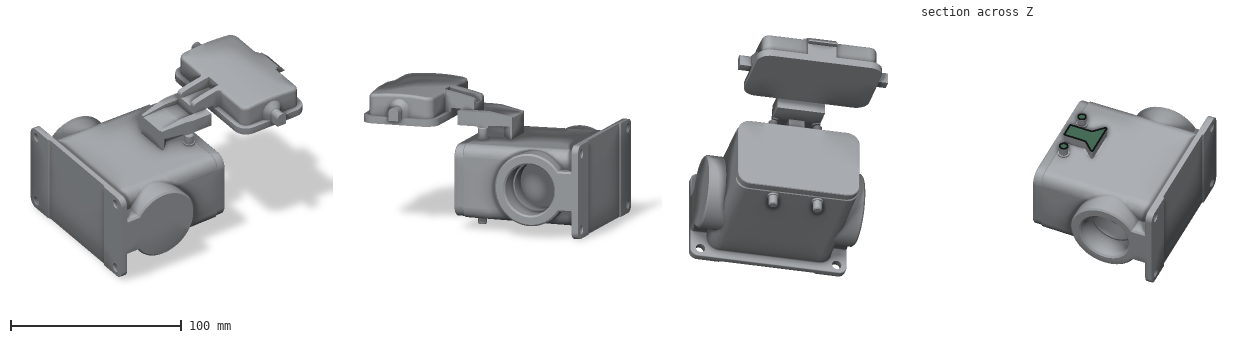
import cadquery as cq
import math

flange_width = 94.0
flange_height = 55.9
flange_thickness = 4.3
flange_corner = 4.7
flange_edge = 0.5
screw_hole_dia = 5.5
screw_spacing_x = 82.0
screw_spacing_z = 45.4
relief_width = 56.2
relief_depth = 0.9

body_width = 74.9
body_height = 45.2
body_corner = 7.5
body_end = 75.5
body_draft = 0.6
body_edge = 0.5
collar_width = 73.2
collar_height = 42.8
collar_end = 80.5
collar_edge = 0.4

entry_y = 30.3
entry_radius = 21.5
entry_edge = 1.0
neck_height = 24.0
neck_rise = 0.3
bore_radius = 15.2
bore_depth = 14.7
bore_chamfer = 1.0
inner_bore_radius = 14.2
inner_bore_depth = 25.5

peg_x = 13.3
peg_y = 71.0
peg_radius = 2.7
peg_reach = 28.6
peg_tip_chamfer = 0.5
peg_foot_radius = 3.4
peg_foot_top = 23.0

bracket_half_rear = 14.3
bracket_half_front = 10.5
bracket_front = 53.7
bracket_bend = 73.7
bracket_rear = 86.2
bracket_top = 37.7
bracket_front_top = 35.3
bracket_ridge_y = 68.5
bracket_under = 29.8
bracket_rear_under = 29.2
bracket_floor_front = 34.6
bracket_floor_ridge = 35.5
bracket_floor_rear = 34.3
front_wall = 1.3
front_wall_embed = 0.7
pad_radius = 3.4
pad_bottom = 28.5
pedestal_front = 60.8
pedestal_rear = 74.7

cover_y = 115.5
rim_width = 75.2
rim_length = 46.2
rim_corner = 8.0
rim_bottom = 31.6
rim_top = 35.9
shell_width = 68.9
shell_length = 40.0
shell_corner = 4.8
shell_draft = 0.5
shell_edge = 1.8
dome_crown = 49.5
dome_edge = 48.0

arm_half = 8.7
arm_tip = 77.9
arm_bottom = 38.0
arm_tip_top = 44.1
arm_tip_fillet = 2.3
arm_crest = (87.2, 46.4)
arm_slot_width = 9.9
arm_slot_end = 97.7
arm_slot_floor = 40.8
root_radius = 1.7
tab_lip_y = 141.8
tab_lip_top = 43.7
tab_lip_bottom = 43.0
tab_top_y = 137.5

pin_end = 44.5
pin_radius = 3.0
pin_axis_z = 40.1
pin_cone_radius = 6.4
pin_cone_slope = 45
pin_root_embed = 1.4
pin_bottom = 35.3

pedestal_half = bracket_half_front - (pedestal_front - bracket_front - front_wall)
half_width = flange_width / 2
front_wall_bottom = body_height / 2 - front_wall_embed
rim_rear = cover_y + rim_length / 2
rim_front = cover_y - rim_length / 2
shell_front = cover_y - shell_length / 2
dome_rise = dome_crown - dome_edge
dome_radius = ((shell_length / 2) ** 2 + dome_rise**2) / (2 * dome_rise)
tolerance = 0.01


def dome_point(y):
    """Point (Y, Z) on the circular arc of the cover's dome."""
    drop = dome_radius - math.sqrt(dome_radius**2 - (y - cover_y) ** 2)
    return y, dome_crown - drop


def plane_along_y(y):
    """Plane facing +Y at the given Y."""
    return cq.Plane(origin=(0, y, 0), xDir=(1, 0, 0), normal=(0, 1, 0))


def rounded_block_y(width, height, corner, y_start, y_end, draft=0.0):
    """Rounded rectangle extruded along +Y, narrowing by the draft angle."""
    outline = cq.Sketch().rect(width, height).vertices().fillet(corner)
    return cq.Workplane(plane_along_y(y_start)).placeSketch(outline).extrude(y_end - y_start, taper=draft)


def side_profile(points, half_thickness):
    """Closed Y-Z polygon extruded equally to both sides of X = 0."""
    return cq.Workplane("YZ").polyline(points).close().extrude(half_thickness, both=True)


def make_flange():
    """Flat mounting plate with rounded corners."""
    return rounded_block_y(flange_width, flange_height, flange_corner, 0, flange_thickness)


def cut_mounting_relief(solid):
    """Shallow recess with sloping sides across the middle of the mounting face."""
    relief = (
        cq.Workplane("XY")
        .polyline([
            (-relief_width / 2 - relief_depth, 0),
            (-relief_width / 2, relief_depth),
            (relief_width / 2, relief_depth),
            (relief_width / 2 + relief_depth, 0),
        ])
        .close()
        .extrude(flange_height, both=True)
    )
    return solid.cut(relief)


def cut_screw_holes(solid):
    """Four through holes at the flange corners."""
    holes = (
        cq.Workplane(plane_along_y(0))
        .rarray(screw_spacing_x, screw_spacing_z, 2, 2)
        .circle(screw_hole_dia / 2)
        .extrude(flange_thickness)
    )
    return solid.cut(holes)


def make_body():
    """Tapered body with a slightly smaller collar at its end."""
    body = rounded_block_y(body_width, body_height, body_corner, flange_thickness, body_end, body_draft)
    body = body.faces(">Y").edges().chamfer(body_edge)
    collar = rounded_block_y(collar_width, collar_height, body_corner, flange_thickness, collar_end)
    collar = collar.faces(">Y").edges().chamfer(collar_edge)
    return body.union(collar)


def make_entries():
    """Round cable bosses on both sides, each with a neck running down to the flange."""
    bosses = cq.Workplane("YZ").center(entry_y, 0).circle(entry_radius).extrude(half_width, both=True)
    necks = cq.Workplane("XY").box(flange_width, entry_y, neck_height)
    necks = necks.translate((0, entry_y / 2, neck_rise))
    entries = bosses.union(necks)
    return entries.faces("<X or >X").edges("not <Y").chamfer(entry_edge)


def cut_bore(solid):
    """Stepped blind bore in the -X cable entry."""
    mouth_radius = bore_radius + bore_chamfer
    steps = [
        (0, 0),
        (mouth_radius, 0),
        (bore_radius, bore_chamfer),
        (bore_radius, bore_depth),
        (inner_bore_radius, bore_depth),
        (inner_bore_radius, inner_bore_depth),
        (0, inner_bore_depth),
    ]
    bore = (
        cq.Workplane("XY")
        .polyline([(depth - half_width, entry_y + radius) for radius, depth in steps])
        .close()
        .revolve(360, (-half_width, entry_y, 0), (0, entry_y, 0))
    )
    return solid.cut(bore)


def make_peg(x):
    """Peg passing through the body, with a foot where it leaves each face."""
    peg = cq.Workplane("XY").circle(peg_radius).extrude(peg_reach, both=True)
    peg = peg.faces("<Z or >Z").chamfer(peg_tip_chamfer)
    foot = cq.Workplane("XY").circle(peg_foot_radius).extrude(peg_foot_top, both=True)
    return peg.union(foot).translate((x, peg_y, 0))


def make_bracket():
    """Forked bracket: two cheeks, a ridged floor, a front wall and a pedestal."""
    side = [
        (bracket_front, front_wall_bottom),
        (bracket_front, bracket_front_top),
        (bracket_ridge_y, bracket_top),
        (bracket_rear, bracket_top),
        (bracket_rear, bracket_rear_under),
        (bracket_bend, bracket_rear_under),
        (bracket_bend, bracket_under),
        (bracket_front + front_wall, bracket_under),
        (bracket_front + front_wall, front_wall_bottom),
    ]
    plan = [
        (-bracket_half_front, bracket_front),
        (bracket_half_front, bracket_front),
        (bracket_half_rear, bracket_bend),
        (bracket_half_rear, bracket_rear),
        (-bracket_half_rear, bracket_rear),
        (-bracket_half_rear, bracket_bend),
    ]
    outline = cq.Workplane("XY").polyline(plan).close().extrude(dome_crown)
    pads = (
        cq.Workplane("XY", origin=(0, peg_y, pad_bottom))
        .pushPoints([(-peg_x, 0), (peg_x, 0)])
        .circle(pad_radius)
        .extrude(bracket_under - pad_bottom)
    )
    bracket = side_profile(side, bracket_half_rear).union(pads).intersect(outline)

    slot = [
        (bracket_front, bracket_floor_front),
        (bracket_ridge_y, bracket_floor_ridge),
        (arm_tip, bracket_floor_rear),
        (arm_tip, dome_crown),
        (bracket_front, dome_crown),
    ]
    bracket = bracket.cut(side_profile(slot, arm_half))

    pedestal_plan = [
        (-bracket_half_front, bracket_front),
        (bracket_half_front, bracket_front),
        (bracket_half_front, bracket_front + front_wall),
        (pedestal_half, pedestal_front),
        (pedestal_half, pedestal_rear),
        (-pedestal_half, pedestal_rear),
        (-pedestal_half, pedestal_front),
        (-bracket_half_front, bracket_front + front_wall),
    ]
    pedestal = cq.Workplane("XY").polyline(pedestal_plan).close().extrude(bracket_under)
    return bracket.union(pedestal)


def make_dome(half_length):
    """Everything between the bottom of the rim and the dome surface, over the given half length."""
    front = cover_y - half_length
    rear = cover_y + half_length
    return (
        cq.Workplane("YZ")
        .moveTo(front, rim_bottom)
        .lineTo(*dome_point(front))
        .threePointArc((cover_y, dome_crown), dome_point(rear))
        .lineTo(rear, rim_bottom)
        .close()
        .extrude(shell_width, both=True)
    )


def make_cover_shell():
    """Domed shell standing on a flat rim."""
    rim_sketch = cq.Sketch().rect(rim_width, rim_length).vertices().fillet(rim_corner)
    shell_sketch = cq.Sketch().rect(shell_width, shell_length).vertices().fillet(shell_corner)
    rim = (
        cq.Workplane("XY", origin=(0, cover_y, rim_bottom))
        .placeSketch(rim_sketch)
        .extrude(rim_top - rim_bottom)
    )
    walls = (
        cq.Workplane("XY", origin=(0, cover_y, rim_bottom))
        .placeSketch(shell_sketch)
        .extrude(dome_crown, taper=shell_draft)
    )
    shell = walls.intersect(make_dome(shell_length / 2)).faces(">Z").edges().fillet(shell_edge)
    return rim.union(shell)


def make_arm():
    """Curved hinge arm, ending in a block held between the cheeks."""
    arm = (
        cq.Workplane("YZ")
        .moveTo(cover_y, rim_top)
        .lineTo(cover_y, dome_crown)
        .threePointArc(dome_point(shell_front / 2 + cover_y / 2), dome_point(shell_front))
        .threePointArc(arm_crest, (arm_tip, arm_tip_top))
        .lineTo(arm_tip, bracket_floor_rear)
        .lineTo(bracket_rear, bracket_floor_rear)
        .lineTo(bracket_rear, arm_bottom)
        .lineTo(rim_front, arm_bottom)
        .lineTo(rim_front, rim_top)
        .close()
        .extrude(arm_half, both=True)
    )
    tip_edge = cq.selectors.NearestToPointSelector((0, arm_tip, arm_tip_top))
    return arm.edges("|X").edges(tip_edge).fillet(arm_tip_fillet)


def make_arm_slot():
    """Block that opens the slot along the top of the arm."""
    return (
        cq.Workplane("XY", origin=(0, 0, arm_slot_floor))
        .moveTo(0, (arm_tip + arm_slot_end) / 2)
        .rect(arm_slot_width, arm_slot_end - arm_tip)
        .extrude(dome_crown)
    )


def make_tab():
    """Latch tab with an overhanging lip on the rear of the cover."""
    return (
        cq.Workplane("YZ")
        .moveTo(cover_y, rim_top)
        .lineTo(cover_y, dome_crown)
        .threePointArc(dome_point((cover_y + tab_top_y) / 2), dome_point(tab_top_y))
        .lineTo(tab_lip_y, tab_lip_top)
        .lineTo(tab_lip_y, tab_lip_bottom)
        .lineTo(rim_rear, tab_lip_bottom)
        .lineTo(rim_rear, rim_top)
        .close()
        .extrude(arm_half, both=True)
    )


def make_roots():
    """Concave corner fillers where the arm and the tab meet the shell walls."""
    inset = shell_length / 2 - 2 * shell_edge
    wall = shell_length / 2
    bend = root_radius * math.sqrt(0.5)
    root = (
        cq.Workplane("XY", origin=(0, cover_y, rim_bottom))
        .moveTo(0, inset)
        .lineTo(arm_half + root_radius, inset)
        .lineTo(arm_half + root_radius, wall)
        .threePointArc(
            (arm_half + root_radius - bend, wall + root_radius - bend),
            (arm_half, wall + root_radius),
        )
        .lineTo(0, wall + root_radius)
        .close()
        .extrude(dome_crown)
    )
    root = root.union(root.mirror("YZ")).intersect(make_dome(wall + root_radius))
    return root.union(root.rotate((0, cover_y, 0), (0, cover_y, 1), 180))


def arch(x, radius, bottom):
    """Arch outline at the given X, round on top and straight down to the bottom."""
    return (
        cq.Workplane("YZ", origin=(x, cover_y, pin_axis_z))
        .moveTo(-radius, bottom - pin_axis_z)
        .lineTo(-radius, 0)
        .threePointArc((0, radius), (radius, 0))
        .lineTo(radius, bottom - pin_axis_z)
        .close()
    )


def make_pin():
    """Side pin of the cover with its flared root, on the +X side."""
    pin = arch(0, pin_radius, pin_bottom).extrude(pin_end)
    root_start = shell_width / 2 - pin_root_embed
    flare = rim_width / 2 - root_start
    inner_radius = pin_cone_radius + pin_root_embed
    root = arch(root_start, inner_radius, rim_bottom).extrude(flare, taper=pin_cone_slope)
    return pin.union(root)


housing = make_flange().union(make_entries()).union(make_body())
flange_back = cq.selectors.BoxSelector(
    (-flange_width, flange_thickness - tolerance, -flange_height),
    (flange_width, flange_thickness + tolerance, flange_height),
    boundingbox=True,
)
housing = housing.edges(flange_back).fillet(flange_edge)
housing = cut_mounting_relief(housing)
housing = cut_screw_holes(housing)
housing = cut_bore(housing)
for side in (-1, 1):
    housing = housing.union(make_peg(side * peg_x))

cover = make_cover_shell().union(make_roots()).union(make_tab()).union(make_arm())
cover = cover.cut(make_arm_slot())
pin = make_pin()
cover = cover.union(pin).union(pin.mirror("YZ"))

result = housing.union(make_bracket()).union(cover)